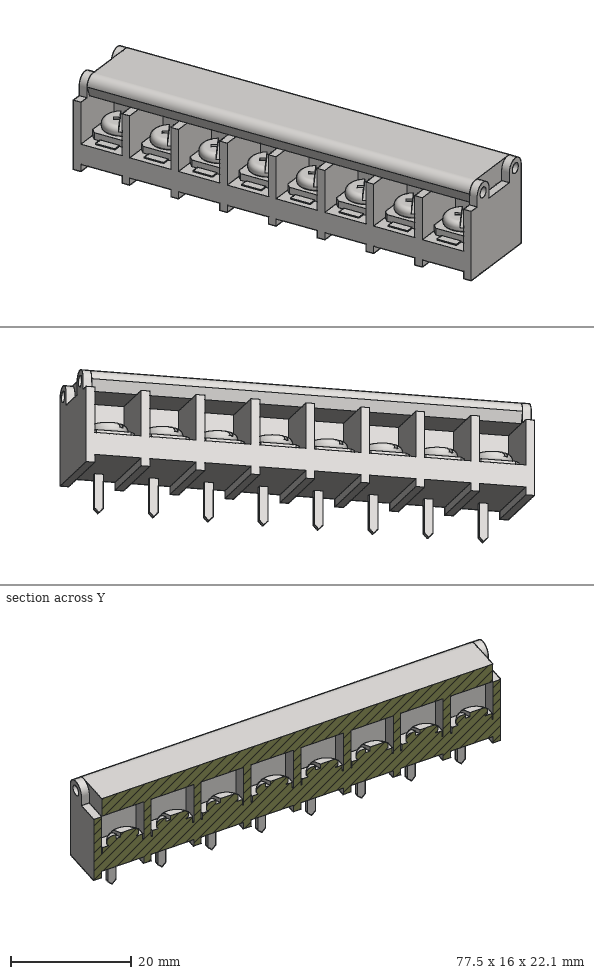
import cadquery as cq
import math

POLES = 8
PITCH = 9.5
WALL = 1.5
CELL_WIDTH = PITCH - WALL
LENGTH = POLES * PITCH + WALL
DEPTH = 16.0
FRONT_Y = -DEPTH / 2
BACK_Y = DEPTH / 2
LEFT_X = -LENGTH / 2

TOP_Z = 16.8
SHOULDER_Z = 13.0
FLOOR_Z = 5.15
UNDERSIDE_Z = 1.35
PIN_TIP_Z = -5.3

LID_EDGE_RADIUS = 1.85
LID_EDGE_Z = TOP_Z - LID_EDGE_RADIUS
LID_SETBACK = 2.0
LID_FRONT_Y = FRONT_Y + LID_SETBACK
LUG_RADIUS = 1.9
LUG_CENTRE_Z = TOP_Z - LUG_RADIUS
LUG_SETBACK = 1.9
FRONT_LUG_Y = FRONT_Y + LUG_SETBACK + LUG_RADIUS
BACK_LUG_Y = BACK_Y - LUG_RADIUS
LUG_HOLE_DIAMETER = 1.9
LID_UNDERCUT = 0.75

CLAMP_SIZE = 7.7
CLAMP_CORNER = 0.85
CLAMP_THICKNESS = 1.25
CLAMP_TOP_Z = FLOOR_Z + CLAMP_THICKNESS
SCREW_SETBACK = 6.5
SCREW_Y = FRONT_Y + SCREW_SETBACK
CLAMP_BACK_GAP = 0.25
CELL_BACK_Y = SCREW_Y + CLAMP_SIZE / 2 + CLAMP_BACK_GAP
HEAD_DIAMETER = 6.84
HEAD_HEIGHT = 1.8
HEAD_TOP_RADIUS = 0.95
HEAD_BOTTOM_RADIUS = 0.5
SLOT_WIDTH = 0.7
CROSS_SLOT_LENGTH = 2.8
SLOT_DEPTH = 0.85
SLOT_ANGLE = -62.0
TAB_WIDTH = 3.8
TAB_THICKNESS = 0.2
TAB_SETBACK = 1.15
TAB_FRONT_Y = FRONT_Y + TAB_SETBACK

PIN_WIDTH = 1.5
PIN_THICKNESS = 0.8
PIN_Y = 4.0
PIN_TIP_LENGTH = PIN_WIDTH / 2
PIN_EMBED = 0.5


def box(x_min, x_max, y_min, y_max, z_min, z_max):
    size = (x_max - x_min, y_max - y_min, z_max - z_min)
    return cq.Workplane("XY").box(*size, centered=False).translate((x_min, y_min, z_min))


def extrude_along_x(profile_yz, x_start, length):
    return profile_yz.extrude(length).translate((x_start, 0, 0))


def cell_left_x(index):
    return LEFT_X + WALL + index * PITCH


def make_housing():
    """Block with an open-front cell and an underside relief for every pole."""
    housing = box(LEFT_X, -LEFT_X, FRONT_Y, BACK_Y, 0, SHOULDER_Z)
    for index in range(POLES):
        left = cell_left_x(index)
        right = left + CELL_WIDTH
        housing = housing.cut(box(left, right, FRONT_Y, CELL_BACK_Y, FLOOR_Z, SHOULDER_Z))
        housing = housing.cut(box(left, right, FRONT_Y, BACK_Y, 0, UNDERSIDE_Z))
    return housing


def make_lid():
    """Cover between the end walls, rounded along both long edges and undercut at the front."""
    arc_offset = LID_EDGE_RADIUS * math.sqrt(0.5)
    front_arc_y = LID_FRONT_Y + LID_EDGE_RADIUS
    back_arc_y = BACK_Y - LID_EDGE_RADIUS
    profile = (
        cq.Workplane("YZ")
        .moveTo(LID_FRONT_Y + LID_UNDERCUT, SHOULDER_Z)
        .lineTo(LID_FRONT_Y, LID_EDGE_Z)
        .threePointArc((front_arc_y - arc_offset, LID_EDGE_Z + arc_offset), (front_arc_y, TOP_Z))
        .lineTo(back_arc_y, TOP_Z)
        .threePointArc((back_arc_y + arc_offset, LID_EDGE_Z + arc_offset), (BACK_Y, LID_EDGE_Z))
        .lineTo(BACK_Y, SHOULDER_Z)
        .close()
    )
    return extrude_along_x(profile, LEFT_X + WALL, LENGTH - 2 * WALL)


def make_lug(x_start, centre_y):
    """Round-topped hinge ear with a hole through it, standing on an end wall."""
    profile = (
        cq.Workplane("YZ")
        .moveTo(centre_y - LUG_RADIUS, SHOULDER_Z)
        .lineTo(centre_y - LUG_RADIUS, LUG_CENTRE_Z)
        .threePointArc((centre_y, TOP_Z), (centre_y + LUG_RADIUS, LUG_CENTRE_Z))
        .lineTo(centre_y + LUG_RADIUS, SHOULDER_Z)
        .close()
        .moveTo(centre_y, LUG_CENTRE_Z)
        .circle(LUG_HOLE_DIAMETER / 2)
    )
    return extrude_along_x(profile, x_start, WALL)


def make_clamp(centre_x):
    """Wire clamp plate on the cell floor, with its four corners cut off."""
    return (
        cq.Workplane("XY", origin=(centre_x, SCREW_Y, FLOOR_Z))
        .rect(CLAMP_SIZE, CLAMP_SIZE)
        .extrude(CLAMP_THICKNESS)
        .edges("|Z")
        .chamfer(CLAMP_CORNER)
    )


def make_screw_head(centre_x):
    """Rounded screw head on the clamp plate, with a full-width driver slot and a short cross slot."""
    head = (
        cq.Workplane("XY", origin=(centre_x, SCREW_Y, CLAMP_TOP_Z))
        .circle(HEAD_DIAMETER / 2)
        .extrude(HEAD_HEIGHT)
        .faces(">Z")
        .edges()
        .fillet(HEAD_TOP_RADIUS)
        .faces("<Z")
        .edges()
        .fillet(HEAD_BOTTOM_RADIUS)
    )
    slots = (
        cq.Workplane("XY", origin=(centre_x, SCREW_Y, CLAMP_TOP_Z + HEAD_HEIGHT - SLOT_DEPTH))
        .transformed(rotate=(0, 0, SLOT_ANGLE))
        .rect(HEAD_DIAMETER, SLOT_WIDTH)
        .extrude(SLOT_DEPTH)
        .rect(SLOT_WIDTH, CROSS_SLOT_LENGTH)
        .extrude(SLOT_DEPTH)
    )
    return head.cut(slots)


def make_tab(centre_x):
    """Thin contact strip on the cell floor, reaching out in front of the clamp plate."""
    half_width = TAB_WIDTH / 2
    return box(
        centre_x - half_width,
        centre_x + half_width,
        TAB_FRONT_Y,
        SCREW_Y,
        FLOOR_Z,
        FLOOR_Z + TAB_THICKNESS,
    )


def make_pin(centre_x):
    """Flat solder pin with a pointed tip, its upper end sunk into the housing."""
    half_width = PIN_WIDTH / 2
    root_z = UNDERSIDE_Z + PIN_EMBED
    tip_start_z = PIN_TIP_Z + PIN_TIP_LENGTH
    return (
        cq.Workplane("XZ", origin=(centre_x, PIN_Y + PIN_THICKNESS / 2, 0))
        .moveTo(-half_width, root_z)
        .lineTo(-half_width, tip_start_z)
        .lineTo(0, PIN_TIP_Z)
        .lineTo(half_width, tip_start_z)
        .lineTo(half_width, root_z)
        .close()
        .extrude(PIN_THICKNESS)
    )


result = make_housing().union(make_lid())

for end_wall_x in (LEFT_X, -LEFT_X - WALL):
    for lug_y in (FRONT_LUG_Y, BACK_LUG_Y):
        result = result.union(make_lug(end_wall_x, lug_y))

for pole in range(POLES):
    pole_x = cell_left_x(pole) + CELL_WIDTH / 2
    for make_piece in (make_clamp, make_screw_head, make_tab, make_pin):
        result = result.union(make_piece(pole_x))